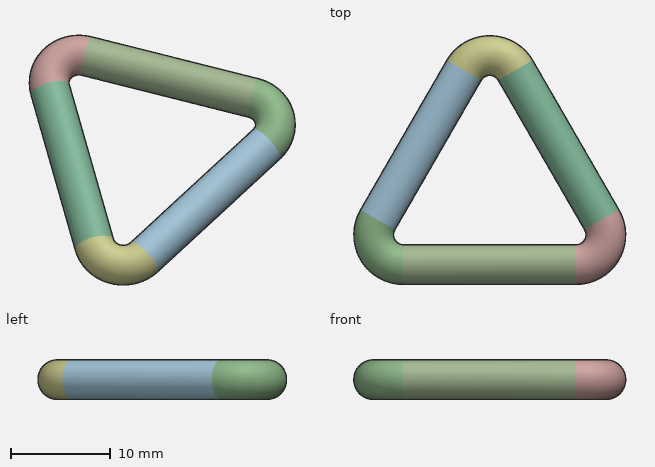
import cadquery as cq
import math

overall_width = 27.3
rod_diameter = 4.0
bend_outer_radius = 5.0

bend_radius = bend_outer_radius - rod_diameter / 2
side_length = overall_width - 2 * bend_outer_radius
center_to_bend = side_length / math.sqrt(3)
corner_angles = (-30, 90, 210)
half_bend_angle = 60


def bend_point(corner_angle, offset_angle):
    """Point on the centreline of a bend, offset_angle away from the bend's middle."""
    corner = math.radians(corner_angle)
    direction = math.radians(corner_angle + offset_angle)
    return (
        center_to_bend * math.cos(corner) + bend_radius * math.cos(direction),
        center_to_bend * math.sin(corner) + bend_radius * math.sin(direction),
    )


bottom_y = bend_point(corner_angles[0], -half_bend_angle)[1]
centreline = cq.Workplane("XY").moveTo(0, bottom_y)
for angle in corner_angles:
    centreline = centreline.lineTo(*bend_point(angle, -half_bend_angle))
    centreline = centreline.threePointArc(bend_point(angle, 0), bend_point(angle, half_bend_angle))
centreline = centreline.close()

section = cq.Workplane("YZ").center(bottom_y, 0).circle(rod_diameter / 2)
result = section.sweep(centreline)